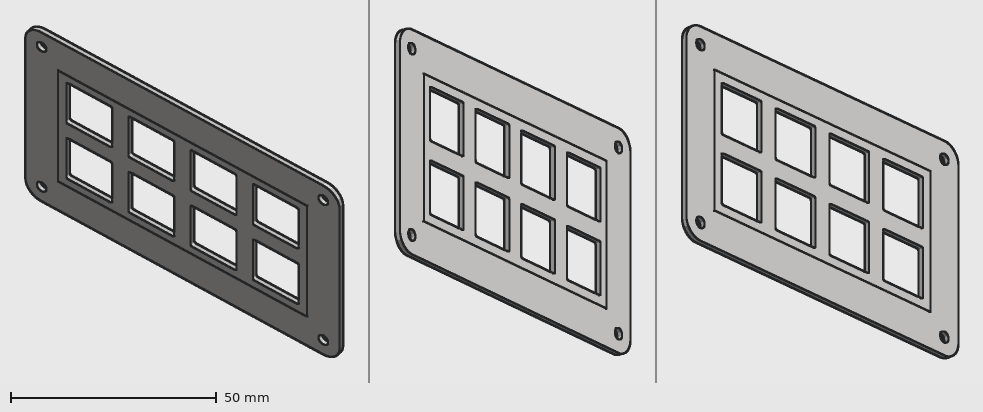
import cadquery as cq

frame_width = 96.3
frame_height = 58.2
thickness = 1.51
border = 10.0
frame_corner_radius = 5.0

hole_diameter = 2.9
hole_inset = frame_corner_radius

plate_width = frame_width - 2 * border
plate_height = frame_height - 2 * border

key_pitch = 19.05
key_columns = 4
key_rows = 2
cutout_size = 14.0
cutout_corner_radius = 0.5
grid_margin = 2.6


def front_plane():
    """Workplane on the front face, facing -Y; a negative extrusion goes back through the part."""
    return cq.Workplane("XZ", origin=(0, -thickness / 2, 0))


def flat_block(width, height):
    """Sheet of the common thickness, centred on the origin and standing in the XZ plane."""
    return front_plane().rect(width, height).extrude(-thickness)


def make_frame():
    """Rounded frame with a rectangular window for the switch plate and four corner holes."""
    outer = flat_block(frame_width, frame_height).edges("|Y").fillet(frame_corner_radius)
    window = flat_block(plate_width, plate_height)
    hole_spacing_x = frame_width - 2 * hole_inset
    hole_spacing_z = frame_height - 2 * hole_inset
    holes = (
        front_plane()
        .rect(hole_spacing_x, hole_spacing_z, forConstruction=True)
        .vertices()
        .circle(hole_diameter / 2)
        .extrude(-thickness)
    )
    return outer.cut(window).cut(holes)


def make_switch_plate():
    """Rectangular plate with one rounded square cutout per key."""
    plate = flat_block(plate_width, plate_height)
    cutout = flat_block(cutout_size, cutout_size).edges("|Y").fillet(cutout_corner_radius)
    first_x = -plate_width / 2 + grid_margin + cutout_size / 2
    first_z = -plate_height / 2 + grid_margin + cutout_size / 2
    for column in range(key_columns):
        for row in range(key_rows):
            x = first_x + column * key_pitch
            z = first_z + row * key_pitch
            plate = plate.cut(cutout.translate((x, 0, z)))
    return plate


frame = make_frame()
switch_plate = make_switch_plate()

result = cq.Compound.makeCompound([frame.val(), switch_plate.val()])